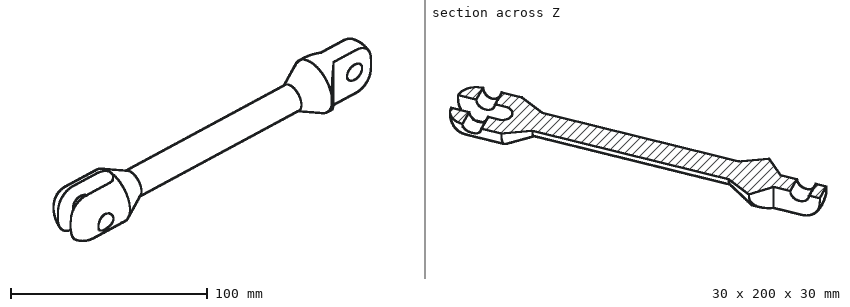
import cadquery as cq
import math

LENGTH = 200.0
HEAD_DIAMETER = 30.0
SHAFT_DIAMETER = 15.0
END_ROUND = 10.0
CONE_LENGTH = 14.0

FORK_HEAD_LENGTH = 31.0
SLOT_WIDTH = 10.0
SLOT_DEPTH = 31.0
FORK_HOLE_SETBACK = 15.0

TONGUE_HEAD_LENGTH = 34.5
TONGUE_THICKNESS = 10.0
TONGUE_FLAT_LENGTH = 25.0
SHOULDER_ANGLE = 45.0
TONGUE_HOLE_SETBACK = 11.0

PIN_HOLE_DIAMETER = 10.0

HEAD_RADIUS = HEAD_DIAMETER / 2
SHAFT_RADIUS = SHAFT_DIAMETER / 2
FORK_END = -LENGTH / 2
TONGUE_END = LENGTH / 2


def turned_bar():
    """Shaft with a coned, round-ended head at each end."""
    end_face_radius = HEAD_RADIUS - END_ROUND
    fork_rim = FORK_END + FORK_HEAD_LENGTH
    tongue_rim = TONGUE_END - TONGUE_HEAD_LENGTH
    profile = (
        cq.Workplane("XY")
        .moveTo(0, FORK_END)
        .lineTo(end_face_radius, FORK_END)
        .radiusArc((HEAD_RADIUS, FORK_END + END_ROUND), -END_ROUND)
        .lineTo(HEAD_RADIUS, fork_rim)
        .lineTo(SHAFT_RADIUS, fork_rim + CONE_LENGTH)
        .lineTo(SHAFT_RADIUS, tongue_rim - CONE_LENGTH)
        .lineTo(HEAD_RADIUS, tongue_rim)
        .lineTo(HEAD_RADIUS, TONGUE_END - END_ROUND)
        .radiusArc((end_face_radius, TONGUE_END), -END_ROUND)
        .lineTo(0, TONGUE_END)
        .close()
    )
    return profile.revolve(360, (0, 0, 0), (0, 1, 0))


def fork_slot():
    """Slot through the head along Z, with a half-round floor."""
    half_width = SLOT_WIDTH / 2
    straight_end = FORK_END + SLOT_DEPTH - half_width
    return (
        cq.Workplane("XY")
        .moveTo(-half_width, FORK_END)
        .lineTo(half_width, FORK_END)
        .lineTo(half_width, straight_end)
        .threePointArc((0, FORK_END + SLOT_DEPTH), (-half_width, straight_end))
        .close()
        .extrude(HEAD_RADIUS, both=True)
    )


def tongue_flank():
    """Material removed from the +X side of the tongue, down to a sloped shoulder."""
    inner_x = TONGUE_THICKNESS / 2
    outer_x = HEAD_DIAMETER
    shoulder_top = TONGUE_END - TONGUE_FLAT_LENGTH
    shoulder_drop = (outer_x - inner_x) * math.tan(math.radians(SHOULDER_ANGLE))
    return (
        cq.Workplane("XY")
        .moveTo(inner_x, TONGUE_END)
        .lineTo(inner_x, shoulder_top)
        .lineTo(outer_x, shoulder_top - shoulder_drop)
        .lineTo(outer_x, TONGUE_END)
        .close()
        .extrude(HEAD_RADIUS, both=True)
    )


def pin_hole(y):
    """Cross hole along X, through the full head width."""
    return (
        cq.Workplane("YZ")
        .center(y, 0)
        .circle(PIN_HOLE_DIAMETER / 2)
        .extrude(HEAD_RADIUS, both=True)
    )


flank = tongue_flank()

result = (
    turned_bar()
    .cut(fork_slot())
    .cut(flank)
    .cut(flank.mirror("YZ"))
    .cut(pin_hole(FORK_END + FORK_HOLE_SETBACK))
    .cut(pin_hole(TONGUE_END - TONGUE_HOLE_SETBACK))
)